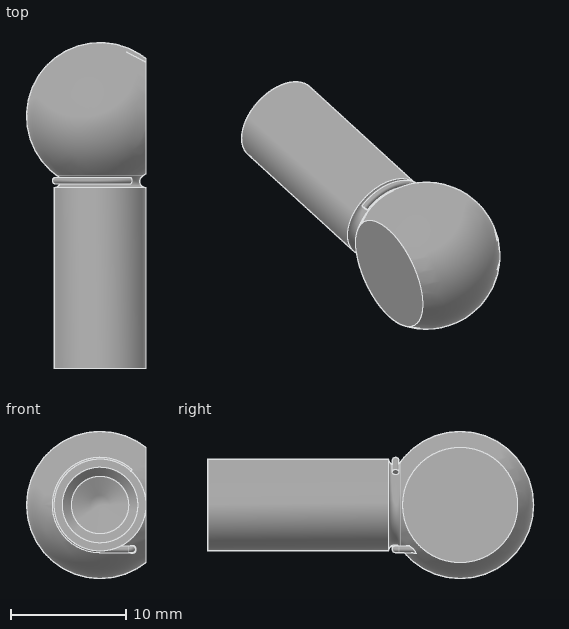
import cadquery as cq
import math

overall_length = 28.35
ball_radius = 6.4
sleeve_radius = 4.0
flat_x = sleeve_radius
sleeve_end_y = ball_radius - overall_length

bore_radius = 2.5
bore_depth = 14.17
bore_tip_length = 1.13
countersink_radius = 3.3
countersink_depth = countersink_radius - bore_radius

groove_y = -5.67
neck_radius = 3.65
groove_section_radius = 0.55
wire_radius = 0.298
clip_y = -5.6
clip_radius = 3.85
clip_start_angle = 48.0
clip_tail_x = 2.78
clip_bend_radius = 0.3
clip_tail_end_y = -2.27
clip_hole_radius = 0.355


def clip_point(angle):
    """Point on the circular part of the clip centreline."""
    turn = math.radians(angle)
    return cq.Vector(clip_radius * math.cos(turn), clip_y, clip_radius * math.sin(turn))


def make_bore():
    """Blind bore with a conical bottom and a countersunk mouth, revolved about Y."""
    bottom_y = sleeve_end_y + bore_depth
    return (
        cq.Workplane("XY")
        .moveTo(0, sleeve_end_y)
        .lineTo(countersink_radius, sleeve_end_y)
        .lineTo(bore_radius, sleeve_end_y + countersink_depth)
        .lineTo(bore_radius, bottom_y)
        .lineTo(0, bottom_y + bore_tip_length)
        .close()
        .revolve(360, (0, 0, 0), (0, 1, 0))
    )


def make_groove():
    """Round-bottomed ring groove between ball and sleeve."""
    return (
        cq.Workplane("XY")
        .center(sleeve_radius, groove_y)
        .circle(groove_section_radius)
        .revolve(360, (-sleeve_radius, 0, 0), (-sleeve_radius, 1, 0))
    )


def make_clip_hole():
    """Clearance hole in the ball for the bent tail of the clip."""
    return (
        cq.Workplane("XZ", origin=(clip_tail_x, clip_tail_end_y, -clip_radius))
        .circle(clip_hole_radius)
        .extrude(clip_tail_end_y - clip_y)
    )


def make_housing():
    """Ball with a flat side, joined to the hollow sleeve."""
    ball = cq.Workplane("XY").sphere(ball_radius)
    beyond_flat = cq.Workplane("YZ", origin=(flat_x, 0, 0)).circle(ball_radius).extrude(ball_radius)
    neck = cq.Workplane("XZ").circle(neck_radius).extrude(-groove_y)
    sleeve_start = cq.Workplane("XZ", origin=(0, groove_y, 0))
    sleeve = sleeve_start.circle(sleeve_radius).extrude(groove_y - sleeve_end_y)
    body = ball.cut(beyond_flat).union(neck).union(sleeve)
    return body.cut(make_groove()).cut(make_bore()).cut(make_clip_hole())


def make_clip():
    """Wire around the neck, with a straight tail bent into the ball."""
    bend_start_x = clip_tail_x - clip_bend_radius
    bend_end_y = clip_y + clip_bend_radius
    bend_middle = cq.Vector(
        bend_start_x + clip_bend_radius * math.sin(math.pi / 4),
        bend_end_y - clip_bend_radius * math.cos(math.pi / 4),
        -clip_radius,
    )
    start = clip_point(clip_start_angle)
    ring_end = clip_point(270)
    bend_start = cq.Vector(bend_start_x, clip_y, -clip_radius)
    bend_end = cq.Vector(clip_tail_x, bend_end_y, -clip_radius)
    tail_end = cq.Vector(clip_tail_x, clip_tail_end_y, -clip_radius)
    path = cq.Wire.assembleEdges([
        cq.Edge.makeThreePointArc(start, clip_point(180), ring_end),
        cq.Edge.makeLine(ring_end, bend_start),
        cq.Edge.makeThreePointArc(bend_start, bend_middle, bend_end),
        cq.Edge.makeLine(bend_end, tail_end),
    ])
    turn = math.radians(clip_start_angle)
    start_tangent = cq.Vector(-math.sin(turn), 0, math.cos(turn))
    section = cq.Workplane(cq.Plane(origin=start, xDir=(0, 1, 0), normal=start_tangent))
    return section.circle(wire_radius).sweep(cq.Workplane(path))


housing = make_housing()
clip = make_clip()

result = cq.Compound.makeCompound([housing.solids().val(), clip.val()])